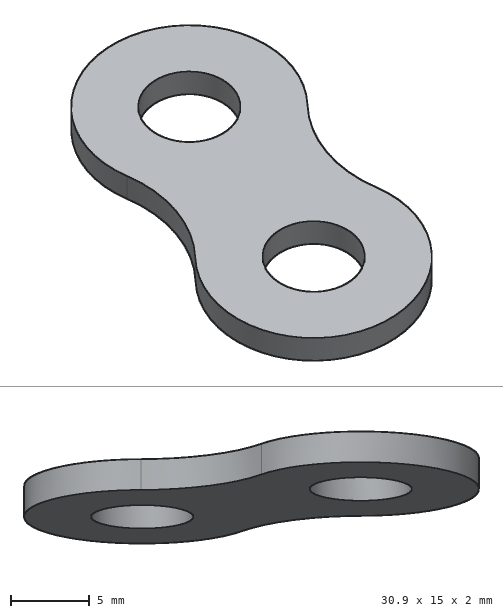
import cadquery as cq
import math

length = 30.88
eye_diameter = 15.0
hole_diameter = 6.5
waist_width = 11.0
thickness = 2.0

eye_radius = eye_diameter / 2
half_length = length / 2
half_pitch = half_length - eye_radius
half_waist = waist_width / 2

waist_radius = (half_pitch**2 + half_waist**2 - eye_radius**2) / (2 * (eye_radius - half_waist))
waist_center_y = half_waist + waist_radius

center_distance = math.hypot(half_pitch, waist_center_y)
tangent_x = half_pitch * waist_radius / center_distance
tangent_y = waist_center_y * eye_radius / center_distance


def make_plate():
    """Solid plate outlined by two eye arcs and two waist arcs."""
    return (
        cq.Workplane("XY")
        .moveTo(tangent_x, tangent_y)
        .threePointArc((half_length, 0), (tangent_x, -tangent_y))
        .threePointArc((0, -half_waist), (-tangent_x, -tangent_y))
        .threePointArc((-half_length, 0), (-tangent_x, tangent_y))
        .threePointArc((0, half_waist), (tangent_x, tangent_y))
        .close()
        .extrude(thickness)
    )


def cut_pin_holes(plate):
    """Cut one through hole concentric with each eye."""
    hole_centers = [(-half_pitch, 0), (half_pitch, 0)]
    return plate.faces(">Z").workplane(origin=(0, 0, 0)).pushPoints(hole_centers).hole(hole_diameter)


result = cut_pin_holes(make_plate())